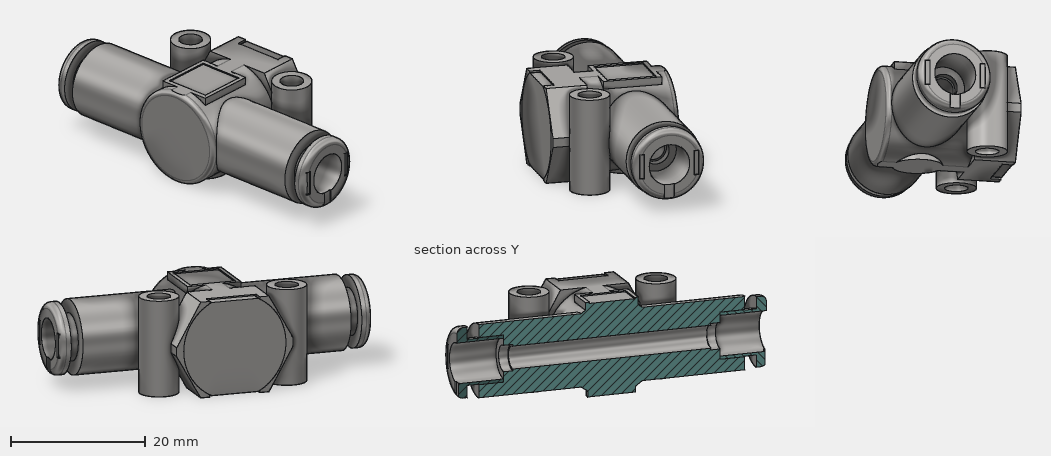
import cadquery as cq

total_length = 49.0
total_height = 14.7
front_y = -6.35
rear_y = 13.6

barrel_diameter = 14.95
barrel_edge_radius = 0.75

block_front_y = 7.35
block_flat_width = 10.75
block_width = 18.3
block_side_height = 1.35

plug_diameter = 16.05
plug_thickness = 1.6
plug_flat_drop = 0.2
notch_width = 7.85
notch_depth = 0.5

tube_diameter = 11.4
tube_length = 42.15
flow_bore_diameter = 3.5
counterbore_diameter = 4.0
counterbore_depth = 1.45

lug_diameter = 6.0
lug_hole_diameter = 3.5
lug_x = 10.05
lug_y = 8.25

plate_width = 8.45
plate_length = 9.0
label_width = 7.1
label_length = 7.5
label_depth = 0.2
pad_diameter = 7.6

collet_length = 7.35
flange_diameter = 11.0
flange_thickness = 1.65
flange_edge_radius = 0.95
neck_diameter = 7.2
collet_bore_diameter = 6.2
slot_inner_y = 3.8
slot_outer_y = 4.55
slot_length = 3.7
keyway_width = 1.5
face_cut_depth = 0.25

top_z = total_height / 2
collet_outer_x = total_length / 2
collet_inner_x = collet_outer_x - collet_length
tube_end_x = tube_length / 2
plug_seat_y = rear_y - plug_thickness


def x_cylinder(diameter, x_start, x_end):
    return cq.Workplane("YZ", origin=(x_start, 0, 0)).circle(diameter / 2).extrude(x_end - x_start)


def y_cylinder(diameter, y_start, y_end):
    return cq.Workplane("XZ", origin=(0, y_end, 0)).circle(diameter / 2).extrude(y_end - y_start)


def trim_to_height(shape, height):
    """Keep the middle of a shape, between two horizontal planes the given height apart."""
    slab = cq.Workplane("XY").box(2 * total_length, 2 * total_length, height)
    return shape.intersect(slab)


def make_barrel():
    barrel = y_cylinder(barrel_diameter, front_y, block_front_y)
    barrel = barrel.faces("<Y").edges().fillet(barrel_edge_radius)
    return trim_to_height(barrel, total_height)


def make_rear_block():
    flat_x = block_flat_width / 2
    side_x = block_width / 2
    side_z = block_side_height / 2
    outline = [
        (flat_x, top_z),
        (side_x, side_z),
        (side_x, -side_z),
        (flat_x, -top_z),
        (-flat_x, -top_z),
        (-side_x, -side_z),
        (-side_x, side_z),
        (-flat_x, top_z),
    ]
    block_length = rear_y - block_front_y
    return cq.Workplane("XZ", origin=(0, rear_y, 0)).polyline(outline).close().extrude(block_length)


def make_plug_seat():
    """Round seat for the plug, with a notch through the top and bottom faces of the block."""
    seat = y_cylinder(plug_diameter, plug_seat_y, rear_y)
    notch_y = rear_y - plug_thickness / 2
    for side in (-1, 1):
        notch_z = side * (top_z - notch_depth / 2)
        notch = cq.Workplane("XY", origin=(0, notch_y, notch_z)).box(
            notch_width, plug_thickness, notch_depth
        )
        seat = seat.union(notch)
    return seat


def make_lug_cylinders(diameter):
    return (
        cq.Workplane("XY", origin=(0, 0, -top_z))
        .pushPoints([(-lug_x, lug_y), (lug_x, lug_y)])
        .circle(diameter / 2)
        .extrude(total_height)
    )


def make_label_plate():
    return cq.Workplane("XY").rect(plate_width, plate_length).extrude(top_z)


def make_label_recess():
    label_floor = cq.Workplane("XY", origin=(0, 0, top_z - label_depth))
    return label_floor.rect(label_width, label_length).extrude(label_depth)


def make_pad():
    return cq.Workplane("XY", origin=(0, 0, -top_z)).circle(pad_diameter / 2).extrude(top_z)


def make_tube_bores():
    """Flow bore right through, with a counterbore and a collet socket at each end."""
    counterbore_end_x = collet_inner_x - counterbore_depth
    bores = x_cylinder(flow_bore_diameter, -tube_end_x, tube_end_x)
    for side in (-1, 1):
        counterbore = x_cylinder(
            counterbore_diameter, side * counterbore_end_x, side * collet_inner_x
        )
        socket = x_cylinder(neck_diameter, side * collet_inner_x, side * tube_end_x)
        bores = bores.union(counterbore).union(socket)
    return bores


def make_housing():
    solid_shape = (
        make_barrel()
        .union(make_rear_block())
        .union(x_cylinder(tube_diameter, -tube_end_x, tube_end_x))
        .union(make_lug_cylinders(lug_diameter))
        .union(make_label_plate())
        .union(make_pad())
    )
    return (
        solid_shape.cut(make_lug_cylinders(lug_hole_diameter))
        .cut(make_label_recess())
        .cut(make_plug_seat())
        .cut(make_tube_bores())
    )


def make_plug():
    disc = y_cylinder(plug_diameter, plug_seat_y, rear_y)
    return trim_to_height(disc, total_height - 2 * plug_flat_drop)


def make_collet():
    """Release collet of the -X tube."""
    outer_x = -collet_outer_x
    inner_x = -collet_inner_x
    neck_x = outer_x + flange_thickness
    flange = x_cylinder(flange_diameter, outer_x, neck_x)
    flange = flange.faces("<X").edges().fillet(flange_edge_radius)
    neck = x_cylinder(neck_diameter, neck_x, inner_x)
    bore = x_cylinder(collet_bore_diameter, outer_x, inner_x)

    slot_y = (slot_inner_y + slot_outer_y) / 2
    outer_face = cq.Workplane("YZ", origin=(outer_x, 0, 0))
    slots = (
        outer_face.pushPoints([(-slot_y, 0), (slot_y, 0)])
        .rect(slot_outer_y - slot_inner_y, slot_length)
        .extrude(face_cut_depth)
    )
    keyway = (
        outer_face.center(0, -flange_diameter / 4)
        .rect(keyway_width, flange_diameter / 2)
        .extrude(face_cut_depth)
    )
    return flange.union(neck).cut(bore).cut(slots).cut(keyway)


housing = make_housing()
plug = make_plug()

left_collet = make_collet()
collets = [left_collet.val(), left_collet.mirror("YZ").val()]

result = cq.Compound.makeCompound([housing.val(), plug.val(), *collets])